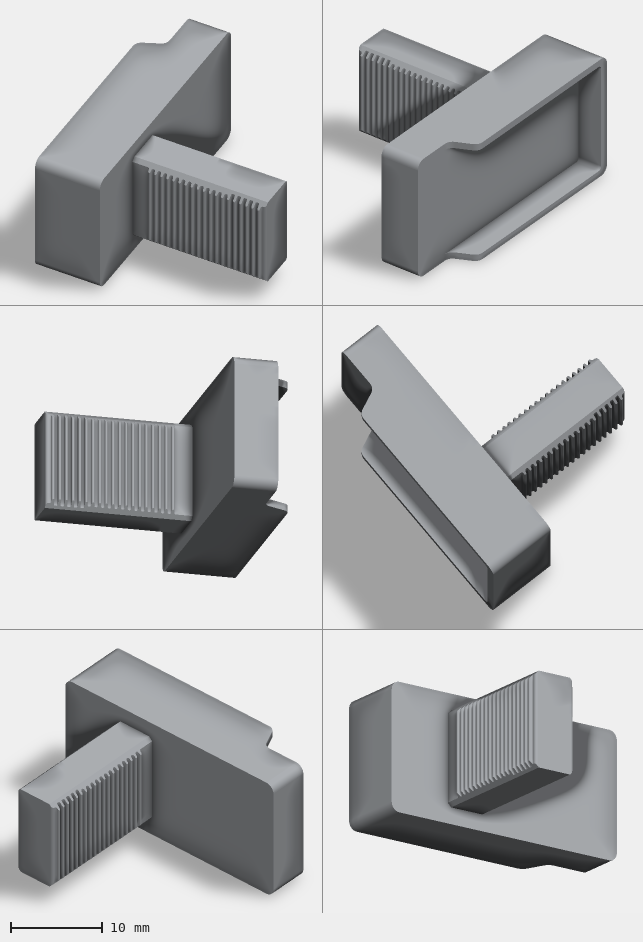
import cadquery as cq
import math

head_depth = 8.0
head_width = 30.0
head_height = 15.0
corner_radius = 1.02
pocket_depth = 3.05
side_wall = 0.8
end_wall = 1.05
pocket_corner_radius = 0.45

ramp_floor_y = head_width / 2 - 5.55
ramp_rim_y = head_width / 2 - 6.93
ramp_radius = 1.02

stem_end = 24.5
stem_center_y = -5.0
core_half_width = 2.52
stem_height = 11.13
stem_chamfer = 0.45
end_radius = 0.3

tooth_count = 19
tooth_pitch = 0.75
first_tooth_x = 10.25
tooth_width = 0.3
tooth_rise = 0.4
root_radius = 0.18
tooth_overlap = 0.3
tip_radius = tooth_width / 2

deep_groove_count = 5
deep_groove_depth = 0.18
deep_groove_radius = 0.12

tip_half_width = core_half_width + tooth_rise


def make_head():
    """Rounded block, cut back at the +Y end and pocketed from the -X face."""
    head = (
        cq.Workplane("XY")
        .box(head_depth, head_width, head_height, centered=(False, True, True))
        .edges("|X")
        .fillet(corner_radius)
    )
    step = (
        cq.Workplane("XY")
        .polyline([
            (0, ramp_rim_y),
            (pocket_depth, ramp_floor_y),
            (pocket_depth, head_width),
            (-head_depth, head_width),
            (-head_depth, ramp_rim_y),
        ])
        .close()
        .extrude(head_height, both=True)
    )
    head = head.cut(step)
    margin = 0.3
    ramp_edges = cq.selectors.BoxSelector(
        (-margin, ramp_rim_y - margin, -head_height),
        (pocket_depth + margin, ramp_floor_y + margin, head_height),
    )
    head = head.edges("|Z").edges(ramp_edges).fillet(ramp_radius)

    pocket = (
        cq.Workplane("XY")
        .box(pocket_depth, head_width, head_height - 2 * side_wall, centered=(False, True, True))
        .edges("|X and <Y")
        .fillet(pocket_corner_radius)
        .translate((0, end_wall, 0))
    )
    return head.cut(pocket)


def make_tooth(x):
    """One tooth on the +Y core face: fully rounded tip and a concave fillet at each root."""
    half = tooth_width / 2
    root_half = half + root_radius
    root_y = core_half_width
    flank_y = root_y + root_radius
    shoulder_y = tip_half_width - tip_radius
    arc_mid = root_radius * (1 - math.sqrt(0.5))
    return (
        cq.Workplane("XY")
        .moveTo(x - root_half, root_y - tooth_overlap)
        .lineTo(x - root_half, root_y)
        .threePointArc((x - half - arc_mid, root_y + arc_mid), (x - half, flank_y))
        .lineTo(x - half, shoulder_y)
        .threePointArc((x, tip_half_width), (x + half, shoulder_y))
        .lineTo(x + half, flank_y)
        .threePointArc((x + half + arc_mid, root_y + arc_mid), (x + root_half, root_y))
        .lineTo(x + root_half, root_y - tooth_overlap)
        .close()
        .extrude(stem_height / 2, both=True)
    )


def make_deep_groove(x):
    """Groove cutter centred at x: clears the space between two teeth and sinks into the core."""
    floor = core_half_width - deep_groove_depth
    return (
        cq.Workplane("XY")
        .box(tooth_pitch - tooth_width, 2 * tooth_rise, stem_height, centered=(True, False, True))
        .edges("|Z and <Y")
        .fillet(deep_groove_radius)
        .translate((x, floor, 0))
    )


def make_stem():
    """Core bar with teeth on both Y sides, all trimmed by one chamfered envelope."""
    length = stem_end - head_depth
    stem = (
        cq.Workplane("XY")
        .box(length, 2 * core_half_width, stem_height, centered=(False, True, True))
        .edges("|Z and >X")
        .fillet(end_radius)
        .translate((head_depth, 0, 0))
    )
    teeth_x = [first_tooth_x + i * tooth_pitch for i in range(tooth_count)]
    for x in teeth_x:
        tooth = make_tooth(x)
        stem = stem.union(tooth).union(tooth.mirror("XZ"))
    for x in teeth_x[-deep_groove_count - 1:-1]:
        groove = make_deep_groove(x + tooth_pitch / 2)
        stem = stem.cut(groove).cut(groove.mirror("XZ"))
    envelope = (
        cq.Workplane("XY")
        .box(length, 2 * tip_half_width, stem_height, centered=(False, True, True))
        .edges("|X")
        .chamfer(stem_chamfer + tooth_rise)
        .translate((head_depth, 0, 0))
    )
    return stem.intersect(envelope).translate((0, stem_center_y, 0))


result = make_head().union(make_stem())